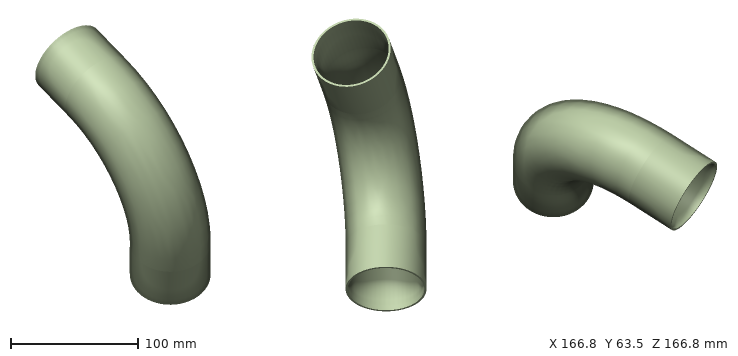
import cadquery as cq

overall_length = 166.8
outer_diameter = 63.5
inner_diameter = 60.2
straight_length = 40.0

bend_radius = overall_length - straight_length - outer_diameter / 2


def solid_elbow(diameter):
    """Round bar: a straight along +X, a 90 degree bend, a straight along -Z."""
    inlet = cq.Workplane("YZ").circle(diameter / 2).extrude(straight_length)
    bend = (
        cq.Workplane("YZ", origin=(straight_length, 0, 0))
        .circle(diameter / 2)
        .revolve(90, (0, -bend_radius, 0), (1, -bend_radius, 0))
    )
    outlet = (
        cq.Workplane("XY", origin=(straight_length + bend_radius, 0, -bend_radius))
        .circle(diameter / 2)
        .extrude(-straight_length)
    )
    return inlet.union(bend).union(outlet)


result = solid_elbow(outer_diameter).cut(solid_elbow(inner_diameter))